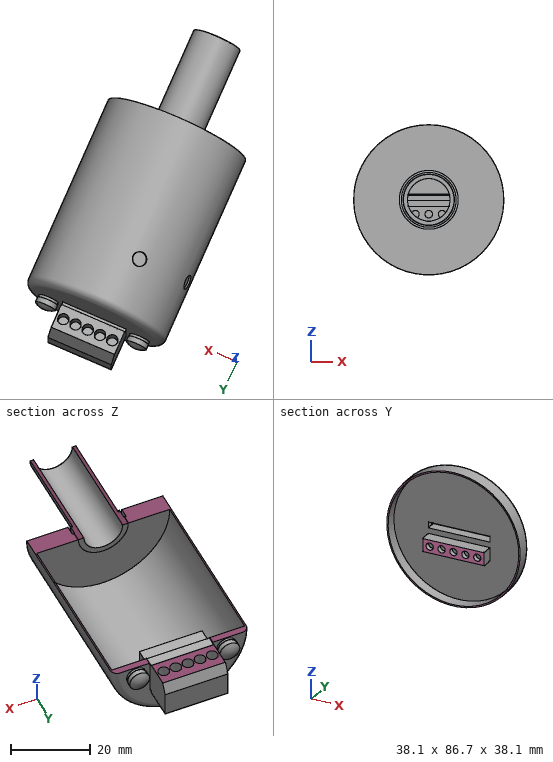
import cadquery as cq
import math


housing_length = 52.3
housing_radius = 38.1 / 2
rear_fillet = 2.0
wall = 0.5
front_wall = 5.2
lid_thickness = 2.0
front_bore_radius = 7.5
front_bore_depth = 2.6

access_hole_diameter = 3.7
top_hole = (37.2, 18.5)
side_hole = (35.55, 76.3)

overall_length = 86.7
tube_length = 25.2
tube_radius = 6.4
tube_bore_radius = 5.4
collar_radius = 6.9
root_groove_radius = 6.5
root_groove_depth = 0.4

block_width = 17.5
block_top = 1.2
block_bottom = -9.8
block_standoff = 0.7
block_chamfer_depth = 2.1
block_chamfer_height = 4.0
contact_count = 5
contact_pitch = 3.4
entry_diameter = 2.9
entry_inset = 5.2
entry_depth = 4.3

slot_top = 1.5
neck_top = -0.2
plug_top = -1.7
neck_bottom = -9.3
plug_bottom = -5.55
plug_reach = 6.4
socket_diameter = 1.9
socket_height = -3.6
socket_depth = 2.6

screw_offset = 12.6
screw_height = -2.9
screw_collar_radius = 2.7
screw_head_radius = 2.8
screw_head_thickness = 1.4
screw_dome_height = 0.9

lid_inner_face = housing_length - lid_thickness
block_front = housing_length + block_standoff
block_rear = overall_length - tube_length
plug_front = housing_length - plug_reach
contact_places = [(i - (contact_count - 1) / 2) * contact_pitch for i in range(contact_count)]


def rod(radius, y_start, y_end, x=0.0, z=0.0):
    """Cylinder along Y between two planes."""
    return cq.Workplane(cq.Solid.makeCylinder(
        radius, y_end - y_start, cq.Vector(x, y_start, z), cq.Vector(0, 1, 0)))


def bar(y_start, y_end, z_bottom, z_top):
    """Box as wide as the terminal block, centred on X."""
    return cq.Workplane("XY").box(
        block_width, y_end - y_start, z_top - z_bottom, centered=(True, False, False)
    ).translate((0, y_start, z_bottom))


def access_hole(y, angle):
    """Radial cutter from the cavity out through the housing wall."""
    turn = math.radians(angle)
    outward = cq.Vector(-math.sin(turn), 0, math.cos(turn))
    start = outward * (housing_radius - 2 * wall) + cq.Vector(0, y, 0)
    return cq.Workplane(cq.Solid.makeCylinder(access_hole_diameter / 2, 4 * wall, start, outward))


def make_housing():
    """Thin-walled can with a front wall bored for the rotor and a slotted lid at the rear."""
    body = rod(housing_radius, 0, housing_length).faces(">Y").edges().fillet(rear_fillet)
    body = body.cut(rod(housing_radius - wall, front_wall, lid_inner_face))
    body = body.cut(rod(front_bore_radius, 0, front_bore_depth))
    body = body.cut(rod(collar_radius, front_bore_depth, front_wall))
    body = body.cut(bar(lid_inner_face, housing_length, neck_bottom, slot_top))
    for y, angle in (top_hole, side_hole):
        body = body.cut(access_hole(y, angle))
    return body


def make_terminal_block():
    """Chamfered block with wire entries on top, and a plug with sockets inside the housing."""
    block = (
        cq.Workplane("YZ")
        .moveTo(block_front, block_bottom)
        .lineTo(block_rear, block_bottom)
        .lineTo(block_rear, block_top - block_chamfer_height)
        .lineTo(block_rear - block_chamfer_depth, block_top)
        .lineTo(block_front, block_top)
        .close()
        .extrude(block_width / 2, both=True)
    )
    block = block.union(bar(lid_inner_face, block_front, neck_bottom, neck_top))
    block = block.union(bar(plug_front, lid_inner_face, plug_bottom, plug_top))
    for x in contact_places:
        wire_entry = cq.Workplane("XY", origin=(x, block_rear - entry_inset, block_top))
        block = block.cut(wire_entry.circle(entry_diameter / 2).extrude(-entry_depth))
        block = block.cut(rod(socket_diameter / 2, plug_front, plug_front + socket_depth, x, socket_height))
    return block


def make_screw(x):
    """Collar, flat-sided head and domed top, revolved about the screw axis."""
    head_start = block_standoff
    head_end = head_start + screw_head_thickness
    dome_radius = (screw_head_radius ** 2 + screw_dome_height ** 2) / (2 * screw_dome_height)
    mid_x = screw_head_radius / 2
    mid_y = head_end + screw_dome_height - dome_radius + math.sqrt(dome_radius ** 2 - mid_x ** 2)
    return (
        cq.Workplane("XY")
        .lineTo(screw_collar_radius, 0)
        .lineTo(screw_collar_radius, head_start)
        .lineTo(screw_head_radius, head_start)
        .lineTo(screw_head_radius, head_end)
        .threePointArc((mid_x, mid_y), (0, head_end + screw_dome_height))
        .close()
        .revolve(360, (0, 0, 0), (0, 1, 0))
        .translate((x, housing_length, screw_height))
    )


def make_stator():
    """Housing, terminal block and both lid screws as one solid."""
    body = make_housing().union(make_terminal_block())
    for x in (-screw_offset, screw_offset):
        body = body.union(make_screw(x))
    return body


def make_rotor():
    """Hollow tube with a collar turning in the front wall and a fine groove at the tube's root."""
    collar = rod(collar_radius, 0, front_wall).cut(rod(root_groove_radius, 0, root_groove_depth))
    tube = rod(tube_radius, -tube_length, front_wall)
    return collar.union(tube).cut(rod(tube_bore_radius, -tube_length, front_wall))


stator = make_stator()
rotor = make_rotor()

result = cq.Compound.makeCompound([stator.val(), rotor.val()])